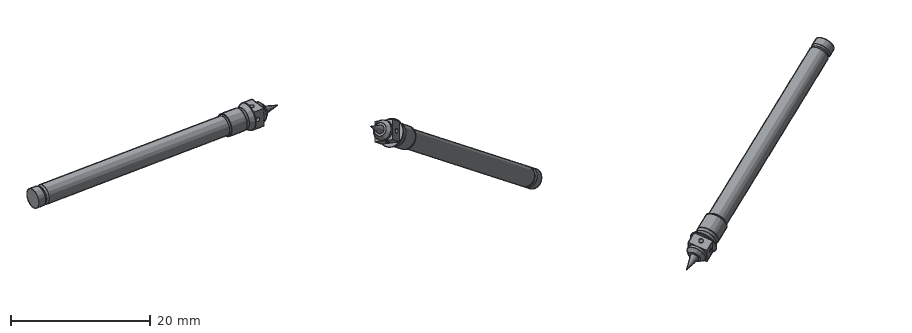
import cadquery as cq

overall_length = 43.1
groove_start = 1.2
groove_floor = 1.5
groove_end = 1.85
body_end = 33.57
sleeve_start = 33.8
sleeve_end = 36.45
sleeve_bevel_end = 36.6
waist_end = 36.95
flange_start = 37.7
flange_thickness = 0.1
head_end = 39.65
nose_shoulder = 40.05
nose_end = 40.58

body_radius = 1.5
groove_depth = 0.15
sleeve_root_radius = 1.6
sleeve_radius = 1.75
sleeve_bevel_radius = 1.7
waist_radius = 1.65
flange_radius = 2.1
nose_end_radius = 1.0
needle_base_radius = 0.65

groove_wall_length = groove_end - groove_floor
groove_arc_radius = (groove_wall_length**2 + groove_depth**2) / (2 * groove_depth)

head_width = 2 * body_radius
dimple_station = 38.54
dimple_radius = 0.33
flat_count = 4


def turned_body():
    """Barrel with groove, sleeve, flared flange, nose and needle, revolved about Y."""
    flange_end = flange_start + flange_thickness
    profile = (
        cq.Workplane("XY")
        .lineTo(body_radius, 0)
        .lineTo(body_radius, groove_start)
        .lineTo(body_radius - groove_depth, groove_floor)
        .radiusArc((body_radius, groove_end), groove_arc_radius)
        .lineTo(body_radius, body_end)
        .lineTo(sleeve_root_radius, sleeve_start)
        .lineTo(sleeve_radius, sleeve_start)
        .lineTo(sleeve_radius, sleeve_end)
        .lineTo(sleeve_bevel_radius, sleeve_bevel_end)
        .lineTo(waist_radius, waist_end)
        .lineTo(flange_radius, flange_start)
        .lineTo(flange_radius, flange_end)
        .lineTo(body_radius, flange_end)
        .lineTo(body_radius, nose_shoulder)
        .lineTo(nose_end_radius, nose_end)
        .lineTo(needle_base_radius, nose_end)
        .lineTo(0, overall_length)
        .close()
    )
    return profile.revolve(360, (0, 0, 0), (0, 1, 0))


def square_head():
    """Square block between the flange and the nose."""
    length = head_end - flange_start
    block = cq.Workplane("XY").box(head_width, length, head_width)
    return block.translate((0, flange_start + length / 2, 0))


def dimple(angle):
    """Ball that sinks a hemispherical dimple into the flat at this angle about Y."""
    ball = cq.Workplane("XY").sphere(dimple_radius)
    ball = ball.translate((0, dimple_station, head_width / 2))
    return ball.rotate((0, 0, 0), (0, 1, 0), angle)


result = turned_body().union(square_head())
for flat in range(flat_count):
    result = result.cut(dimple(flat * 360 / flat_count))